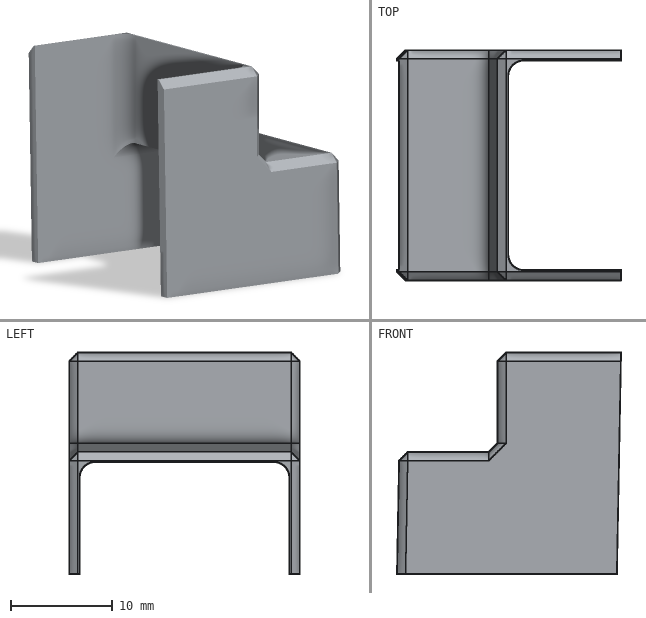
import cadquery as cq

length = 22.15
width = 22.77
height = 21.9

step_height = 12.07
riser_x = 9.93
chamfer = 0.87
back_lean = 0.4

side_wall = 1.05
ceiling_height = 11.07
riser_inner_x = 11.02
inner_radius = 1.5
overshoot = 2.28

half_width = width / 2
low_end_height = step_height - chamfer
low_end_x = back_lean * low_end_height / height
foot_length = length - back_lean


def planar_face(points):
    """Make a flat face bounded by straight lines through the points."""
    return cq.Face.makeFromWires(cq.Wire.makePolygon(points, close=True))


def chamfered_body():
    """Solid stepped block with every exposed edge bevelled and triangular corners."""
    groups = [
        ((chamfer, 0), [(0, 0)]),
        (
            (low_end_x + chamfer, low_end_height),
            [(low_end_x, low_end_height), (low_end_x + chamfer, step_height)],
        ),
        ((riser_x - chamfer, low_end_height), [(riser_x - chamfer, step_height)]),
        ((riser_x + chamfer, step_height + chamfer), [(riser_x, step_height + chamfer)]),
        (
            (riser_x + chamfer, height - chamfer),
            [(riser_x, height - chamfer), (riser_x + chamfer, height)],
        ),
        ((length - back_lean * chamfer / height, height - chamfer), [(length, height)]),
    ]
    back_foot = (foot_length, 0)
    side_corners = [corner for corner, _ in groups] + [back_foot]
    outline = [point for _, points in groups for point in points]
    bevel_y = half_width - chamfer

    faces = []
    for side in (-1, 1):

        def on_side(point):
            return cq.Vector(point[0], side * half_width, point[1])

        def on_bevel(point):
            return cq.Vector(point[0], side * bevel_y, point[1])

        faces.append(planar_face([on_side(corner) for corner in side_corners]))
        for corner, points in groups:
            if len(points) == 2:
                faces.append(planar_face([on_side(corner)] + [on_bevel(p) for p in points]))
        for (corner, points), (next_corner, next_points) in zip(groups, groups[1:]):
            start = on_bevel(points[-1])
            end = on_bevel(next_points[0])
            faces.append(planar_face([on_side(corner), start, end]))
            faces.append(planar_face([on_side(corner), end, on_side(next_corner)]))

    for start, end in zip(outline, outline[1:]):
        faces.append(
            planar_face(
                [
                    cq.Vector(start[0], -bevel_y, start[1]),
                    cq.Vector(end[0], -bevel_y, end[1]),
                    cq.Vector(end[0], bevel_y, end[1]),
                    cq.Vector(start[0], bevel_y, start[1]),
                ]
            )
        )

    for outer_point, side_point in ((outline[0], back_foot), (outline[-1], back_foot)):
        inset = side_corners[0] if outer_point == outline[0] else side_corners[-2]
        faces.append(
            planar_face(
                [
                    cq.Vector(side_point[0], -half_width, side_point[1]),
                    cq.Vector(inset[0], -half_width, inset[1]),
                    cq.Vector(outer_point[0], -bevel_y, outer_point[1]),
                    cq.Vector(outer_point[0], bevel_y, outer_point[1]),
                    cq.Vector(inset[0], half_width, inset[1]),
                    cq.Vector(side_point[0], half_width, side_point[1]),
                ]
            )
        )
    return cq.Workplane(cq.Solid.makeSolid(cq.Shell.makeShell(faces)).fix())


def channel(x_start, z_start, x_size, z_size, rounded_edges):
    """Box between the side walls, with the selected edges rounded."""
    return (
        cq.Workplane()
        .box(x_size, width - 2 * side_wall, z_size, centered=(False, True, False))
        .translate((x_start, 0, z_start))
        .edges(rounded_edges)
        .fillet(inner_radius)
    )


full_length = length + 2 * overshoot
full_height = height + 2 * overshoot
low_channel = channel(-overshoot, -overshoot, full_length, ceiling_height + overshoot, "|X and >Z")
high_channel = channel(
    riser_inner_x, -overshoot, length - riser_inner_x + overshoot, full_height, "|Z and <X"
)

result = chamfered_body().cut(low_channel).cut(high_channel)